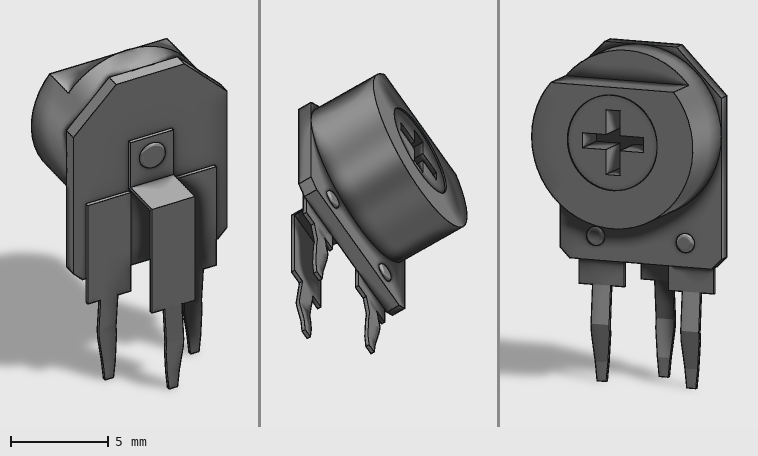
import cadquery as cq


overall_height = 18.0
plate_width = 9.0
plate_height = 11.5
plate_thickness = 0.75
top_corner = 2.5
bottom_corner = 0.54

housing_depth = 3.8
housing_radius = plate_width / 2
notch_depth = 2.02
notch_height = 1.58

rotor_diameter = 5.0
rotor_recess = 0.09
slot_length = 3.4
slot_width = 0.8
slot_depth = 2.0

sheet = 0.2
pad_width = 2.52
pin_pitch = 2.5
pad_bottom = 5.04
side_pad_top = 11.16
center_pad_top = 14.25
center_shelf_top = 11.48
center_terminal_reach = 2.5

pin_width = 1.0
pin_tip_width = 0.5
taper_top = 2.5
kink_middle = 3.0
kink_bottom = 1.0
kink_offset = 0.2

rivet_height = 0.2
rivet_rounding = 0.18
side_rivet_diameter = 1.0
side_rivet_z = 7.75
center_rivet_diameter = 1.5
center_rivet_z = 13.1

plate_front = housing_depth
plate_back = plate_front + plate_thickness
plate_bottom = overall_height - plate_height
dial_z = overall_height - housing_radius
pad_back = plate_back + sheet
center_pin_back = plate_back + center_terminal_reach
center_pin_front = center_pin_back - sheet


def box(x_range, width, z_range, y=0.0):
    """Box spanning two X values and two Z values, centred on y."""
    length = x_range[1] - x_range[0]
    height = z_range[1] - z_range[0]
    corner = (x_range[0], y - width / 2, z_range[0])
    return cq.Workplane("XY").box(length, width, height, centered=False).translate(corner)


def disc(x, y, z, diameter, depth):
    """Cylinder along +X starting at x."""
    return cq.Workplane("YZ", origin=(x, y, z)).circle(diameter / 2).extrude(depth)


def make_plate():
    plate = box((plate_front, plate_back), plate_width, (plate_bottom, overall_height))
    plate = plate.edges("|X and >Z").chamfer(top_corner)
    return plate.edges("|X and <Z").chamfer(bottom_corner)


def make_housing():
    housing = disc(0, 0, dial_z, 2 * housing_radius, housing_depth)
    notch = box((0, notch_depth), plate_width, (overall_height - notch_height, overall_height))
    rotor_gap = disc(0, 0, dial_z, rotor_diameter, rotor_recess)
    housing = housing.cut(notch).cut(rotor_gap)
    for width, height in ((slot_length, slot_width), (slot_width, slot_length)):
        z_range = (dial_z - height / 2, dial_z + height / 2)
        housing = housing.cut(box((0, slot_depth), width, z_range))
    return housing


def make_pin(front, y, kink):
    """Pin below a pad; its sheet starts at X = front and bows by kink along X."""
    back = front + sheet
    side_profile = (
        cq.Workplane("XZ", origin=(0, y, 0))
        .polyline([
            (front, 0),
            (front, kink_bottom),
            (front + kink, kink_middle),
            (front, pad_bottom),
            (back, pad_bottom),
            (back + kink, kink_middle),
            (back, kink_bottom),
            (back, 0),
        ])
        .close()
        .extrude(pin_width / 2, both=True)
    )
    tapered_outline = (
        cq.Workplane("YZ", origin=(0, y, 0))
        .polyline([
            (-pin_tip_width / 2, 0),
            (pin_tip_width / 2, 0),
            (pin_width / 2, taper_top),
            (pin_width / 2, pad_bottom),
            (-pin_width / 2, pad_bottom),
            (-pin_width / 2, taper_top),
        ])
        .close()
        .extrude(back + kink_offset)
    )
    return side_profile.intersect(tapered_outline)


def make_side_terminal(y):
    pad = box((plate_back, pad_back), pad_width, (pad_bottom, side_pad_top), y)
    return pad.union(make_pin(plate_back, y, -kink_offset))


def make_center_terminal():
    """Pad on the plate, a shelf reaching back, and a leg hanging from the shelf."""
    shelf_bottom = center_shelf_top - sheet
    pad = box((plate_back, pad_back), pad_width, (shelf_bottom, center_pad_top))
    shelf = box((plate_back, center_pin_back), pad_width, (shelf_bottom, center_shelf_top))
    leg = box((center_pin_front, center_pin_back), pad_width, (pad_bottom, center_shelf_top))
    return pad.union(shelf).union(leg).union(make_pin(center_pin_front, 0, kink_offset))


def make_side_rivet(y):
    rivet = disc(plate_front - rivet_height, y, side_rivet_z, side_rivet_diameter, rivet_height)
    return rivet.edges("<X").fillet(rivet_rounding)


def make_center_rivet():
    rivet = disc(pad_back, 0, center_rivet_z, center_rivet_diameter, rivet_height)
    return rivet.edges(">X").fillet(rivet_rounding)


result = make_plate().union(make_housing()).union(make_center_terminal()).union(make_center_rivet())
for side_y in (-pin_pitch, pin_pitch):
    result = result.union(make_side_terminal(side_y)).union(make_side_rivet(side_y))